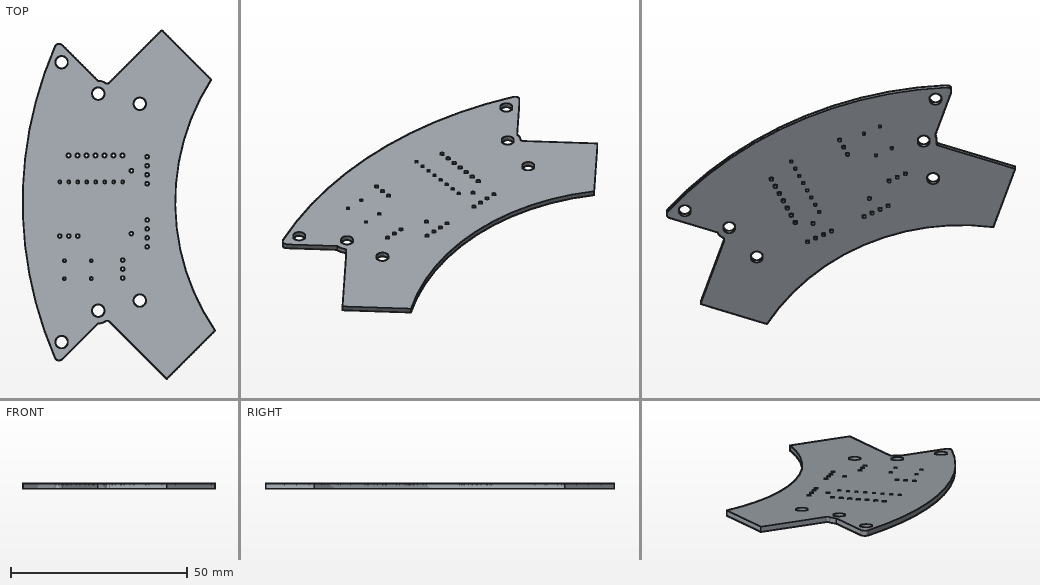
import cadquery as cq
import math

thickness = 1.6
outer_radius = 110.8
inner_radius = 64.3
inner_apex_x = 43.3

tip_edge_sum = 55.8
arm_side_offset = 9.3
upper_arm_top = 48.8
board_length = 98.9
lower_arm_bottom = upper_arm_top - board_length
tip_fillet = 1.3

mount_diameter = 3.5
mount_points = [(11.1, 39.7), (21.5, 30.8), (33.2, 27.9)]
notch_hole = mount_points[1]
notch_lug_radius = 3.7
notch_fillet = 0.8
header_diameter = 1.1
pin_diameter = 1.0
via_diameter = 0.76
pitch = 2.54


def x_on_outer_arc(y):
    return outer_radius - math.sqrt(outer_radius**2 - y**2)


def tip_corner(side):
    """Sharp corner where the outer arc meets the 45 degree tip edge."""
    b = outer_radius - tip_edge_sum
    y = (-b + math.sqrt(2 * outer_radius**2 - b**2)) / 2
    return (x_on_outer_arc(y), side * y)


def notch_corner(side):
    x = (tip_edge_sum - arm_side_offset) / 2
    return (x, side * (tip_edge_sum - x))


def arm_outer_corner(y):
    return (abs(y) - arm_side_offset, y)


def arm_inner_corner(y):
    """Corner where an arm's 45 degree end meets the inner arc."""
    outer_x, outer_y = arm_outer_corner(y)
    end_sum = outer_x + abs(outer_y)
    b = inner_apex_x + inner_radius - end_sum
    height = (-b + math.sqrt(2 * inner_radius**2 - b**2)) / 2
    return (end_sum - height, math.copysign(height, y))


def round_corner(body, corner, radius):
    x, y = corner
    nearest = cq.selectors.NearestToPointSelector((x, y, thickness / 2))
    return body.edges("|Z").edges(nearest).fillet(radius)


def drill(body, points, diameter):
    holes = cq.Workplane("XY").pushPoints(points).circle(diameter / 2).extrude(thickness)
    return body.cut(holes)


def row(x, y, count):
    return [(x + i * pitch, y) for i in range(count)]


def column(x, y, count):
    return [(x, y - i * pitch) for i in range(count)]


board = (
    cq.Workplane("XY")
    .moveTo(*tip_corner(1))
    .lineTo(*notch_corner(1))
    .lineTo(*arm_outer_corner(upper_arm_top))
    .lineTo(*arm_inner_corner(upper_arm_top))
    .threePointArc((inner_apex_x, 0), arm_inner_corner(lower_arm_bottom))
    .lineTo(*arm_outer_corner(lower_arm_bottom))
    .lineTo(*notch_corner(-1))
    .lineTo(*tip_corner(-1))
    .threePointArc((0, 0), tip_corner(1))
    .close()
    .extrude(thickness)
)

for side in (1, -1):
    board = round_corner(board, tip_corner(side), tip_fillet)

notch_points = [(notch_hole[0], side * notch_hole[1]) for side in (1, -1)]
lugs = cq.Workplane("XY").pushPoints(notch_points).circle(notch_lug_radius).extrude(thickness)
board = board.union(lugs)

lug_reach = notch_lug_radius * math.sqrt(0.5)
for x, y in notch_points:
    lug_corner = (x + lug_reach, y + math.copysign(lug_reach, y))
    board = round_corner(board, lug_corner, notch_fillet)

mounts = [(x, side * y) for x, y in mount_points for side in (1, -1)]
board = drill(board, mounts, mount_diameter)

board = drill(board, row(13.1, 13.3, 7), header_diameter)

right_column_x = 35.3
single_pin_x = 30.9
pins = (
    column(right_column_x, 12.9, 4)
    + column(right_column_x, -5.0, 4)
    + [(single_pin_x, 8.9), (single_pin_x, -8.9)]
    + row(10.6, -9.6, 3)
    + column(28.4, -16.4, 3)
)
board = drill(board, pins, pin_diameter)

leads = row(10.6, 5.7, 8) + [(x, y) for x in (11.9, 19.5) for y in (-16.6, -21.7)]
board = drill(board, leads, via_diameter)

result = board